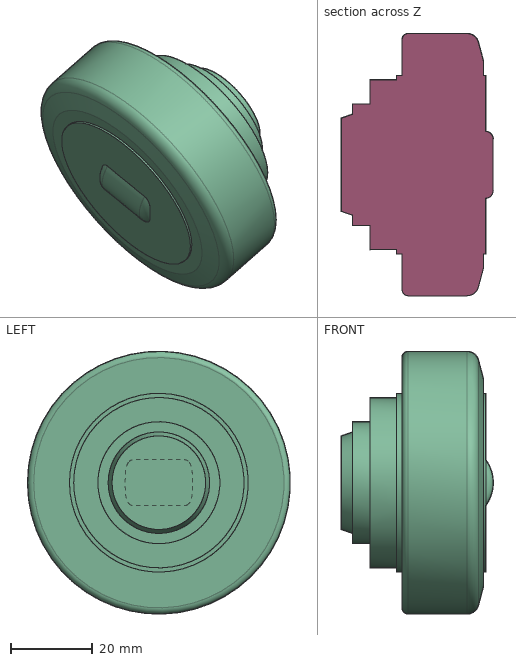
import cadquery as cq
import math


tip_x = 0.0
cone_end_x = 2.8
neck_end_x = 7.05
shank_end_x = 13.6
wheel_back_x = 15.0
wheel_front_x = 35.1
face_x = 35.65
pad_top_x = 37.5

tip_radius = 11.55
cone_radius = 12.5
neck_radius = 15.05
shank_radius = 21.0
collar_radius = 22.0
wheel_radius = 32.4

back_fillet = 1.55
front_fillet = 3.0
front_slope = math.radians(15)
front_face_radius = 25.5

pad_radius = 9.45
pad_half_length = 8.3
pad_fillet = 1.95


def disc(radius, start_x, end_x):
    """Cylinder about the X axis between two stations."""
    return cq.Workplane("YZ", origin=(start_x, 0, 0)).circle(radius).extrude(end_x - start_x)


def make_tip():
    """Tapered end of the stub, widening toward the neck."""
    profile = [
        (tip_x, 0),
        (tip_x, tip_radius),
        (cone_end_x, cone_radius),
        (cone_end_x, 0),
    ]
    return cq.Workplane("XY").polyline(profile).close().revolve(360, (0, 0, 0), (1, 0, 0))


def make_wheel():
    """Wheel whose front arc is tangent to the rim and to the sloped face."""
    arc_center_radius = wheel_radius - front_fillet
    slope_start_radius = arc_center_radius + front_fillet * math.sin(front_slope)
    slope_start_x = wheel_front_x - (slope_start_radius - front_face_radius) * math.tan(front_slope)
    arc_center_x = slope_start_x - front_fillet * math.cos(front_slope)
    mid_angle = (front_slope + math.pi / 2) / 2
    arc_middle = (
        arc_center_x + front_fillet * math.cos(mid_angle),
        arc_center_radius + front_fillet * math.sin(mid_angle),
    )
    wheel = (
        cq.Workplane("XY")
        .moveTo(wheel_back_x, 0)
        .lineTo(wheel_back_x, wheel_radius)
        .lineTo(arc_center_x, wheel_radius)
        .threePointArc(arc_middle, (slope_start_x, slope_start_radius))
        .lineTo(wheel_front_x, front_face_radius)
        .lineTo(wheel_front_x, 0)
        .close()
        .revolve(360, (0, 0, 0), (1, 0, 0))
    )
    return wheel.faces("<X").edges().fillet(back_fillet)


def make_pad():
    """Round-ended barrel along Y, trimmed to the part that rises from the wheel."""
    barrel = (
        cq.Workplane("XZ", origin=(pad_top_x - pad_radius, 0, 0))
        .circle(pad_radius)
        .extrude(pad_half_length, both=True)
        .faces("<Y or >Y")
        .edges()
        .fillet(pad_fillet)
    )
    return barrel.intersect(disc(collar_radius, wheel_front_x, pad_top_x))


result = (
    make_tip()
    .union(disc(neck_radius, cone_end_x, neck_end_x))
    .union(disc(shank_radius, neck_end_x, shank_end_x))
    .union(disc(collar_radius, shank_end_x, wheel_back_x))
    .union(make_wheel())
    .union(disc(collar_radius, wheel_front_x, face_x))
    .union(make_pad())
)